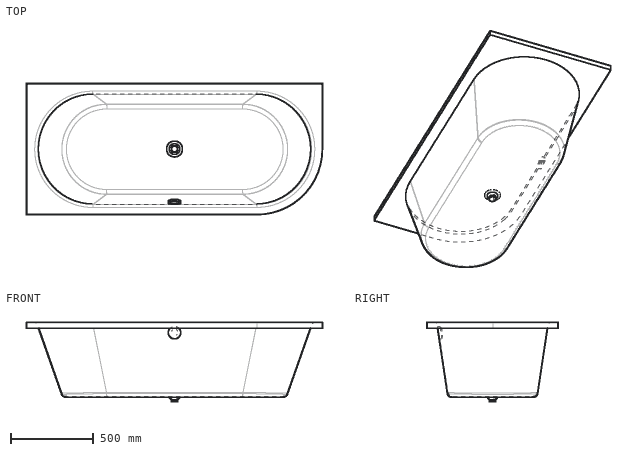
import cadquery as cq
import math

LENGTH = 1800.0
WIDTH = 800.0
RIM_THICKNESS = 38.0
RIM_EDGE_RADIUS = 5.0
CORNER_RADIUS = WIDTH / 2

TOTAL_HEIGHT = 486.0
BASIN_DEPTH = 457.0
TOP_HALF_LENGTH = 828.0
TOP_HALF_WIDTH = 335.0
BOTTOM_HALF_LENGTH = 680.0
BOTTOM_HALF_WIDTH = 272.0
WALL = 4.0
FLOOR_THICKNESS = 7.0
FLOOR_Z = FLOOR_THICKNESS - BASIN_DEPTH
BOTTOM_RADIUS = 29.0
LIP_RADIUS = 20.0
WALL_DROP = BASIN_DEPTH - RIM_THICKNESS

DRAIN_MOUTH_RADIUS = 49.0
DRAIN_SEAT_RADIUS = 32.0
DRAIN_PIPE_RADIUS = 20.7
DRAIN_BORE_RADIUS = 18.0
DRAIN_MOUTH_DEPTH = 5.0
DRAIN_SEAT_DEPTH = 10.0
DRAIN_CONE_HEIGHT = 15.0
DRAIN_BORE_DEPTH = 25.0
DRAIN_TIP_DEPTH = 30.0

OVERFLOW_DEPTH = 65.0
OVERFLOW_RADIUS = 38.0
OVERFLOW_PROJECTION = 13.0
OVERFLOW_NOSE_RADIUS = 20.0
OVERFLOW_NOSE_HEIGHT = 7.0


def section_at(z, inset):
    """Half length and half width of the basin at height z, moved in from the outer wall."""
    drop = (-RIM_THICKNESS - z) / WALL_DROP
    half_length = TOP_HALF_LENGTH + drop * (BOTTOM_HALF_LENGTH - TOP_HALF_LENGTH)
    half_width = TOP_HALF_WIDTH + drop * (BOTTOM_HALF_WIDTH - TOP_HALF_WIDTH)
    return half_length - inset, half_width - inset


def racetrack(z, inset):
    """Closed wire with straight sides and semicircular ends."""
    half_length, half_width = section_at(z, inset)
    straight = half_length - half_width
    outline = (
        cq.Workplane("XY", origin=(0, 0, z))
        .moveTo(-straight, -half_width)
        .lineTo(straight, -half_width)
        .threePointArc((half_length, 0), (straight, half_width))
        .lineTo(-straight, half_width)
        .threePointArc((-half_length, 0), (-straight, -half_width))
        .close()
    )
    return outline.val()


def basin_block(top_z, bottom_z, inset):
    """Tapered block with a rounded bottom edge."""
    wires = [racetrack(bottom_z, inset), racetrack(top_z, inset)]
    block = cq.Workplane(cq.Solid.makeLoft(wires, True))
    return block.faces("<Z").edges().fillet(BOTTOM_RADIUS)


def make_rim():
    """Flat rim slab with one large rounded corner at +X, -Y."""
    slab = cq.Workplane("XY", origin=(0, 0, -RIM_THICKNESS)).rect(LENGTH, WIDTH).extrude(RIM_THICKNESS)
    slab = slab.edges("|Z and >X and <Y").fillet(CORNER_RADIUS)
    return slab.faces(">Z").edges().fillet(RIM_EDGE_RADIUS)


def drain_fitting():
    """Solid cone and outlet pipe under the floor."""
    profile = [
        (0, -BASIN_DEPTH),
        (DRAIN_SEAT_RADIUS, -BASIN_DEPTH),
        (DRAIN_PIPE_RADIUS, -BASIN_DEPTH - DRAIN_CONE_HEIGHT),
        (DRAIN_PIPE_RADIUS, -TOTAL_HEIGHT),
        (0, -TOTAL_HEIGHT),
    ]
    return cq.Workplane("XZ").polyline(profile).close().revolve(360, (0, 0), (0, 1))


def drain_recess():
    """Stepped conical mouth and blind bore sunk into the floor."""
    profile = [
        (0, FLOOR_Z),
        (DRAIN_MOUTH_RADIUS, FLOOR_Z),
        (DRAIN_SEAT_RADIUS, FLOOR_Z - DRAIN_MOUTH_DEPTH),
        (DRAIN_BORE_RADIUS, FLOOR_Z - DRAIN_SEAT_DEPTH),
        (DRAIN_BORE_RADIUS, FLOOR_Z - DRAIN_BORE_DEPTH),
        (0, FLOOR_Z - DRAIN_TIP_DEPTH),
    ]
    return cq.Workplane("XZ").polyline(profile).close().revolve(360, (0, 0), (0, 1))


def make_tub():
    """Rim, thin basin and drain as one body."""
    outer = basin_block(-RIM_THICKNESS, -BASIN_DEPTH, 0)
    cavity = basin_block(0, FLOOR_Z, WALL)
    tub = make_rim().union(outer).cut(cavity)
    half_length, half_width = section_at(0, 0)
    lip = cq.selectors.BoxSelector(
        (-half_length, -half_width, -RIM_EDGE_RADIUS / 2),
        (half_length, half_width, RIM_EDGE_RADIUS / 2),
    )
    tub = tub.edges(lip).fillet(LIP_RADIUS)
    return tub.union(drain_fitting()).cut(drain_recess())


def make_overflow():
    """Round plug with a conical nose, square to the front wall and flush with its outer face."""
    wall_y = -section_at(-OVERFLOW_DEPTH, 0)[1]
    wall_tilt = math.atan((TOP_HALF_WIDTH - BOTTOM_HALF_WIDTH) / WALL_DROP)
    inward = (0, math.cos(wall_tilt), math.sin(wall_tilt))
    wall_plane = cq.Plane(origin=(0, wall_y, -OVERFLOW_DEPTH), xDir=(1, 0, 0), normal=inward)
    disc_length = WALL + OVERFLOW_PROJECTION
    disc = cq.Workplane(wall_plane).circle(OVERFLOW_RADIUS).extrude(disc_length)
    nose = (
        disc.faces(cq.selectors.DirectionMinMaxSelector(cq.Vector(*inward)))
        .workplane()
        .circle(OVERFLOW_RADIUS)
        .workplane(offset=OVERFLOW_NOSE_HEIGHT)
        .circle(OVERFLOW_NOSE_RADIUS)
        .loft(combine=False)
    )
    return disc.union(nose)


overflow = make_overflow()
tub = make_tub().cut(overflow)
result = cq.Compound.makeCompound([tub.val(), overflow.val()])